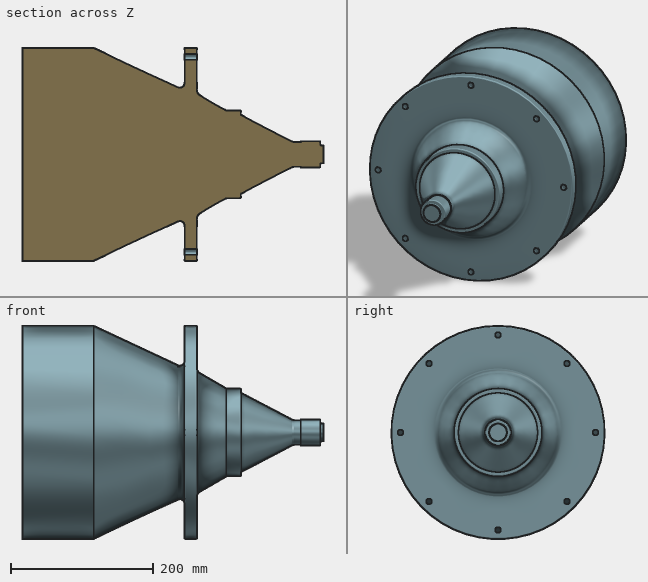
import cadquery as cq


drum_radius = 150.0
drum_length = 100.0
neck_x = 219.7
neck_radius = 94.0

flange_radius = 150.0
flange_front_x = 227.5
flange_thickness = 18.0
flange_back_x = flange_front_x + flange_thickness
flange_rim_fillet = 2.0

hub_radius = 85.6
collar_x = 286.7
collar_length = 20.6
collar_end_x = collar_x + collar_length
collar_radius = 61.8
collar_edge_fillet = 2.0

nose_radius = 55.7
spigot_x = 380.3
spigot_radius = 17.5

sleeve_x = 391.2
sleeve_end_x = 418.8
sleeve_radius = 18.5
sleeve_edge_fillet = 1.6
tip_radius = 12.7
tip_edge_chamfer = 0.5
tip_root_fillet = 1.0
overall_length = 423.2

blend_radius = 6.0
hub_blend_radius = 7.5

hole_count = 8
hole_diameter = 8.0
hole_circle_radius = 137.0

position_tolerance = 0.01


def turned_body():
    """Sharp-edged solid of revolution through every cone, collar and step."""
    profile = (
        cq.Workplane("XZ")
        .moveTo(0, 0)
        .lineTo(0, drum_radius)
        .lineTo(drum_length, drum_radius)
        .lineTo(neck_x, neck_radius)
        .lineTo(flange_front_x, neck_radius)
        .lineTo(flange_front_x, flange_radius)
        .lineTo(flange_back_x, flange_radius)
        .lineTo(flange_back_x, hub_radius)
        .lineTo(collar_x, collar_radius)
        .lineTo(collar_end_x, collar_radius)
        .lineTo(collar_end_x, nose_radius)
        .lineTo(spigot_x, spigot_radius)
        .lineTo(sleeve_x, spigot_radius)
        .lineTo(sleeve_x, sleeve_radius)
        .lineTo(sleeve_end_x, sleeve_radius)
        .lineTo(sleeve_end_x, tip_radius)
        .lineTo(overall_length, tip_radius)
        .lineTo(overall_length, 0)
        .close()
    )
    return profile.revolve(360, (0, 0, 0), (1, 0, 0))


def ring_edge(body, x, radius):
    """Select the circular edge of the given radius in the plane at x."""

    def matches(edge):
        return (
            edge.geomType() == "CIRCLE"
            and abs(edge.arcCenter().x - x) < position_tolerance
            and abs(edge.radius() - radius) < position_tolerance
        )

    return body.edges().filter(matches)


def finish_edges(body):
    """Blend the cone junctions and break the outer rims."""
    fillets = [
        (neck_x, neck_radius, blend_radius),
        (flange_front_x, neck_radius, blend_radius),
        (flange_back_x, hub_radius, hub_blend_radius),
        (spigot_x, spigot_radius, blend_radius),
        (flange_front_x, flange_radius, flange_rim_fillet),
        (flange_back_x, flange_radius, flange_rim_fillet),
        (collar_end_x, collar_radius, collar_edge_fillet),
        (sleeve_end_x, sleeve_radius, sleeve_edge_fillet),
        (sleeve_end_x, tip_radius, tip_root_fillet),
    ]
    for x, ring_radius, fillet_radius in fillets:
        body = ring_edge(body, x, ring_radius).fillet(fillet_radius)
    return ring_edge(body, overall_length, tip_radius).chamfer(tip_edge_chamfer)


def flange_holes():
    """Bolt holes through the flange, evenly spaced on one circle."""
    return (
        cq.Workplane("YZ", origin=(flange_front_x, 0, 0))
        .polarArray(hole_circle_radius, 0, 360, hole_count)
        .circle(hole_diameter / 2)
        .extrude(flange_thickness)
    )


result = finish_edges(turned_body()).cut(flange_holes())